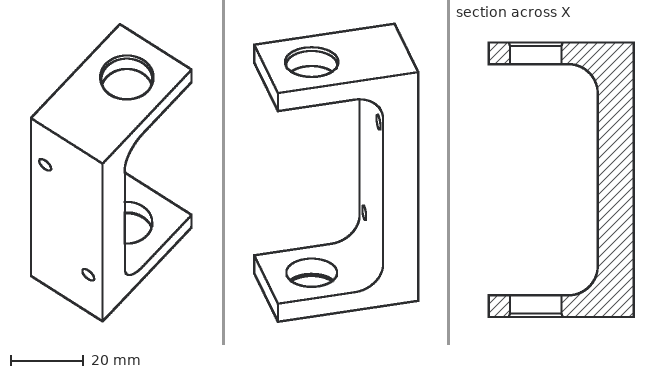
import cadquery as cq
import math

width = 25.0
depth = 40.0
height = 75.5

arm_thickness = 6.0
web_thickness = 10.0
inner_radius = 8.0

shaft_diameter = 14.0
lead_in_depth = 1.0
lead_in_angle = 20.0
shaft_edge_distance = 13.0

mount_diameter = 4.13
mount_offset_x = 7.5
mount_offset_z = 19.75


def make_body():
    """Block centred on the origin, opened towards +Y between the two arms."""
    block = cq.Workplane("XY").box(width, depth, height)
    opening = (
        cq.Workplane("XY")
        .box(width, depth, height - 2 * arm_thickness)
        .edges("<Y and |X")
        .fillet(inner_radius)
        .translate((0, web_thickness, 0))
    )
    return block.cut(opening)


def make_shaft_cutter():
    """Vertical bore that widens at the outer face of each arm."""
    radius = shaft_diameter / 2
    mouth_radius = radius + lead_in_depth * math.tan(math.radians(lead_in_angle))
    top = height / 2
    cone_end = top - lead_in_depth
    profile = [
        (0, -top),
        (mouth_radius, -top),
        (radius, -cone_end),
        (radius, cone_end),
        (mouth_radius, top),
        (0, top),
    ]
    bore = cq.Workplane("XZ").polyline(profile).close().revolve(360, (0, 0), (0, 1))
    return bore.translate((0, depth / 2 - shaft_edge_distance, 0))


def make_mount_cutter():
    """Two holes along Y through the web: upper at -X, lower at +X."""
    centres = [(-mount_offset_x, mount_offset_z), (mount_offset_x, -mount_offset_z)]
    return (
        cq.Workplane("XZ")
        .pushPoints(centres)
        .circle(mount_diameter / 2)
        .extrude(depth / 2)
    )


result = make_body().cut(make_shaft_cutter()).cut(make_mount_cutter())